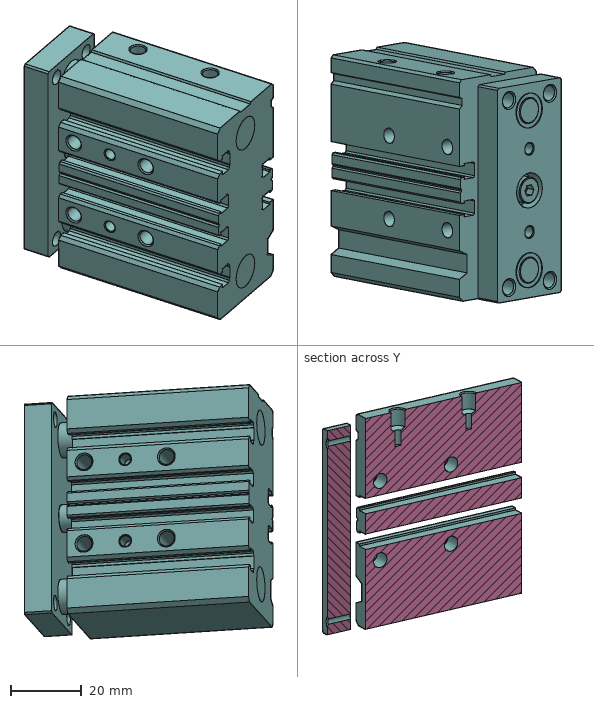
import cadquery as cq
import math


total_length = 66.0
plate_thickness = 8.0
housing_start = 13.0
housing_length = total_length - housing_start

housing_width = 30.0
housing_height = 64.0
half_width = housing_width / 2
half_height = housing_height / 2
main_chamfer = 1.3
back_top_chamfer = 0.8
FRONT = -1
BACK = 1

nut_slot_z = 18.9
nut_slot_mouth = 4.2
nut_slot_flare = 1.05
nut_slot_lip = 2.7
nut_slot_recess = 6.35
nut_slot_depth = 6.35
nut_slot_corner = 0.5
relief_width = 3.7
relief_depth = 0.3

sensor_slot_z = 5.4
sensor_slot_mouth = 3.3
sensor_slot_flare = 0.85
sensor_slot_lip = 1.85
sensor_slot_recess = 4.55
sensor_slot_depth = 5.95
sensor_slot_corner = 0.5

rib_setback = 0.3
rib_notch_depth = 0.5
rib_notch_mouth = 1.3
rib_notch_floor = 0.4

top_groove_mouth = 5.95
top_groove_floor = 5.15
top_groove_depth = 0.6

back_groove_depth = 1.05
back_groove_mouth_top = 27.0
back_groove_floor_top = 26.5
back_groove_floor_bottom = 24.55
back_groove_mouth_bottom = 23.6

taper_groove_z = -21.4
taper_groove_mouth = 8.25
taper_groove_floor = 5.3
taper_groove_depth = 3.0

hole_pitch = 24.0
hole_z = hole_pitch / 2
mount_radius = 2.2
mount_chamfer = 0.4
dowel_radius = 1.6
dowel_chamfer = 0.25
dowel_depth = 5.95
drill_tip_angle = 118

first_mount_x = 18.0
dowel_x = first_mount_x + hole_pitch / 2

first_port_x = 24.0
port_y = 10.0
port_radius = 2.25
port_chamfer = 0.3
port_depth = 5.3
port_passage_radius = 0.9
port_passage_depth = 10.55

plate_width = 25.0
plate_height = 62.0
plate_chamfer = 0.5
plate_hole_y = 8.0
plate_hole_z = 27.0

guide_z = 23.05
guide_radius = 5.0
guide_setback = 0.25

piston_radius = 3.95
piston_bore_end = 59.4
counterbore_radius = guide_radius
counterbore_depth = 4.6
hex_across_flats = 3.0
hex_depth = 2.65

rod_end_radius = 3.75
rod_end_chamfer = 0.25


def x_cylinder(radius, start, end, z):
    """Cylinder along X, centred on Y = 0."""
    return cq.Workplane("YZ", origin=(start, 0, z)).circle(radius).extrude(end - start)


def housing_prism(points):
    """Prism with a (Y, Z) outline, as long as the housing."""
    return cq.Workplane("YZ", origin=(housing_start, 0, 0)).polyline(points).close().extrude(housing_length)


def side_cutter(side, outline):
    """Cutter for a long groove in the front or back face, from (depth, Z) points."""
    return housing_prism([(side * (half_width - depth), z) for depth, z in outline])


def hole_cutter(radius, depth, chamfer, tip_angle=None):
    """Revolved hole cutter: mouth at the origin, running along +Z, with an optional drill tip."""
    profile = [(0, 0), (radius + chamfer, 0), (radius, chamfer), (radius, depth)]
    if tip_angle:
        tip_depth = radius / math.tan(math.radians(tip_angle / 2))
        profile.append((0, depth + tip_depth))
    else:
        profile.append((0, depth))
    return cq.Workplane("XZ").polyline(profile).close().revolve(360, (0, 0), (0, 1))


def hole_along_x(cutter, y, z):
    """Place a hole cutter in the outer face of the plate."""
    return cutter.rotate((0, 0, 0), (0, 1, 0), 90).translate((0, y, z))


def hole_along_y(cutter, x, z):
    """Place a hole cutter in the front face of the housing."""
    return cutter.rotate((0, 0, 0), (1, 0, 0), -90).translate((x, -half_width, z))


def hole_down(cutter, x, y):
    """Place a hole cutter in the top face of the housing."""
    return cutter.rotate((0, 0, 0), (1, 0, 0), 180).translate((x, y, half_height))


def half_t_slot(mouth, flare, lip, recess, depth, corner):
    """One half of a T-slot outline as (depth, distance from the slot middle) points."""
    flare_start = [(0, mouth / 2 + flare)] if flare else []
    return flare_start + [
        (flare, mouth / 2),
        (lip, mouth / 2),
        (lip, recess / 2),
        (depth - corner, recess / 2),
        (depth, recess / 2 - corner),
    ]


def t_slot(side, z, upper_half, lower_half):
    """T-slot cutter from two half outlines."""
    upper = [(depth, z + offset) for depth, offset in upper_half]
    lower = [(depth, z - offset) for depth, offset in reversed(lower_half)]
    return side_cutter(side, upper + lower)


def rectangle_groove(side, z, width, depth):
    """Straight groove of rectangular section."""
    top = z + width / 2
    bottom = z - width / 2
    return side_cutter(side, [(0, top), (depth, top), (depth, bottom), (0, bottom)])


def tapered_groove(side, z, mouth, floor, start, depth):
    """Symmetric tapered groove whose mouth lies at a depth of start below the face."""
    return side_cutter(
        side,
        [(start, z + mouth / 2), (depth, z + floor / 2), (depth, z - floor / 2), (start, z - mouth / 2)],
    )


def housing_block():
    c = main_chamfer
    b = back_top_chamfer
    return housing_prism([
        (-half_width, -half_height + c),
        (-half_width + c, -half_height),
        (half_width - c, -half_height),
        (half_width, -half_height + c),
        (half_width, half_height - b),
        (half_width - b, half_height),
        (-half_width + c, half_height),
        (-half_width, half_height - c),
    ])


def cut_nut_slots(body):
    half = half_t_slot(
        nut_slot_mouth, nut_slot_flare, nut_slot_lip, nut_slot_recess, nut_slot_depth, nut_slot_corner
    )
    for z in (-nut_slot_z, nut_slot_z):
        body = body.cut(t_slot(FRONT, z, half, half))
        body = body.cut(rectangle_groove(FRONT, z, relief_width, nut_slot_depth + relief_depth))
    return body


def cut_sensor_slots(body):
    shape = (sensor_slot_lip, sensor_slot_recess, sensor_slot_depth, sensor_slot_corner)
    flared = half_t_slot(sensor_slot_mouth, sensor_slot_flare, *shape)
    plain = half_t_slot(sensor_slot_mouth, 0, *shape)
    for side, outer in ((FRONT, flared), (BACK, plain)):
        body = body.cut(t_slot(side, sensor_slot_z, outer, flared))
        body = body.cut(t_slot(side, -sensor_slot_z, flared, outer))
    return body


def cut_centre_rib(body):
    """Set the rib back from the faces and notch its middle."""
    slot_spacing = 2 * sensor_slot_z
    notch_end = rib_setback + rib_notch_depth
    for side in (FRONT, BACK):
        body = body.cut(rectangle_groove(side, 0, slot_spacing, rib_setback))
        body = body.cut(tapered_groove(side, 0, rib_notch_mouth, rib_notch_floor, rib_setback, notch_end))
    return body


def cut_top_groove(body):
    floor_z = half_height - top_groove_depth
    return body.cut(housing_prism([
        (-top_groove_mouth / 2, half_height),
        (-top_groove_floor / 2, floor_z),
        (top_groove_floor / 2, floor_z),
        (top_groove_mouth / 2, half_height),
    ]))


def cut_back_grooves(body):
    small_groove = side_cutter(BACK, [
        (0, back_groove_mouth_top),
        (back_groove_depth, back_groove_floor_top),
        (back_groove_depth, back_groove_floor_bottom),
        (0, back_groove_mouth_bottom),
    ])
    large_groove = tapered_groove(
        BACK, taper_groove_z, taper_groove_mouth, taper_groove_floor, 0, taper_groove_depth
    )
    return body.cut(small_groove).cut(large_groove)


def cut_front_holes(body):
    """Through mounting holes and blind dowel holes in the front face."""
    mount = hole_cutter(mount_radius, housing_width, mount_chamfer)
    dowel = hole_cutter(dowel_radius, dowel_depth, dowel_chamfer, drill_tip_angle)
    for z in (-hole_z, hole_z):
        for x in (first_mount_x, first_mount_x + hole_pitch):
            body = body.cut(hole_along_y(mount, x, z))
        body = body.cut(hole_along_y(dowel, dowel_x, z))
    return body


def cut_air_ports(body):
    port = hole_cutter(port_radius, port_depth, port_chamfer, drill_tip_angle)
    passage = cq.Workplane("XY").circle(port_passage_radius).extrude(port_passage_depth)
    port = port.union(passage)
    for x in (first_port_x, first_port_x + hole_pitch):
        body = body.cut(hole_down(port, x, port_y))
    return body


def cut_rod_bores(body):
    for z in (-guide_z, guide_z):
        body = body.cut(x_cylinder(guide_radius, housing_start, total_length, z))
    return body.cut(x_cylinder(piston_radius, housing_start, piston_bore_end, 0))


def make_housing():
    body = housing_block()
    body = cut_nut_slots(body)
    body = cut_sensor_slots(body)
    body = cut_centre_rib(body)
    body = cut_top_groove(body)
    body = cut_back_grooves(body)
    body = cut_front_holes(body)
    body = cut_air_ports(body)
    return cut_rod_bores(body)


def make_plate():
    body = cq.Workplane("YZ").rect(plate_width, plate_height).extrude(plate_thickness)
    body = body.edges("|X").chamfer(plate_chamfer)

    screw_hole = hole_cutter(mount_radius, plate_thickness, mount_chamfer)
    for y in (-plate_hole_y, plate_hole_y):
        for z in (-plate_hole_z, plate_hole_z):
            body = body.cut(hole_along_x(screw_hole, y, z))

    dowel = hole_cutter(dowel_radius, dowel_depth, dowel_chamfer, drill_tip_angle)
    for z in (-hole_z, hole_z):
        body = body.cut(hole_along_x(dowel, 0, z))

    for z in (-guide_z, guide_z):
        body = body.cut(x_cylinder(guide_radius, 0, plate_thickness, z))
    body = body.cut(x_cylinder(rod_end_radius, 0, plate_thickness, 0))
    return body.cut(x_cylinder(counterbore_radius, 0, counterbore_depth, 0))


def make_rod_end(length, z):
    """Turned end with a chamfered rim, flush with the outer face of the plate."""
    return x_cylinder(rod_end_radius, 0, length, z).faces("<X").chamfer(rod_end_chamfer)


def make_guide_rod(z):
    rod = x_cylinder(guide_radius, guide_setback, total_length, z)
    return rod.union(make_rod_end(plate_thickness, z))


def make_piston_rod():
    rod = x_cylinder(piston_radius, plate_thickness, piston_bore_end, 0)
    rod = rod.union(make_rod_end(plate_thickness, 0))
    hex_across_corners = hex_across_flats / math.cos(math.pi / 6)
    socket = cq.Workplane("YZ").polygon(6, hex_across_corners).extrude(hex_depth)
    return rod.cut(socket)


housing = make_housing()
plate = make_plate()
guide_rods = [make_guide_rod(z) for z in (-guide_z, guide_z)]
piston_rod = make_piston_rod()

result = cq.Compound.makeCompound(
    [housing.val(), plate.val(), *[rod.val() for rod in guide_rods], piston_rod.val()]
)